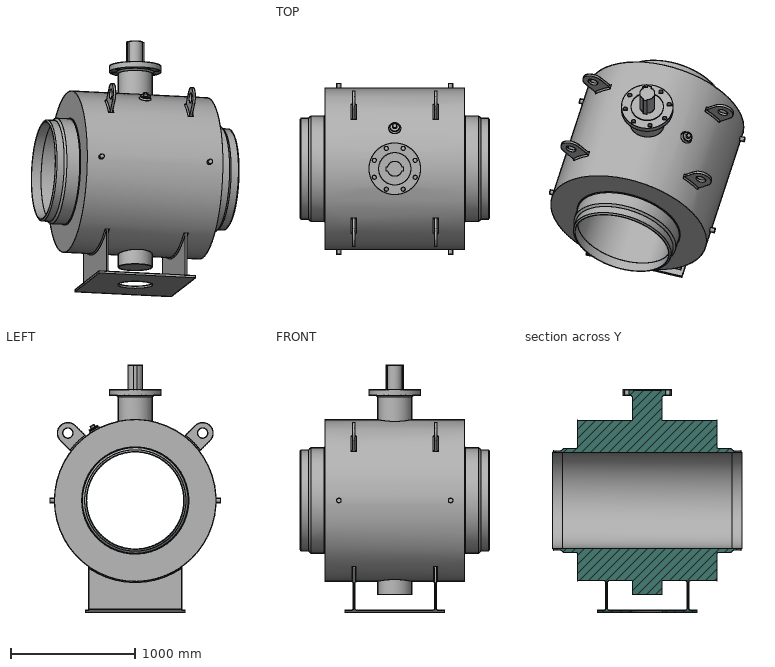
import cadquery as cq
shell_diameter = 1300
shell_length = 1124
overall_length = 1524
bore_diameter = 780

pipe_end_diameter = 815
collar_diameter = 850
pipe_end_length = 70
end_bore_diameter = 781
end_bore_depth = 80
bevel_land = 2.5
bevel_length = 10
collar_weld_leg = 6

neck_diameter = 274
neck_weld_leg = 15
flange_diameter = 415
flange_top = 890
flange_thickness = 45
flange_recess_diameter = 260
flange_recess_depth = 5
bolt_count = 8
bolt_hole_diameter = 33
bolt_circle_diameter = 356
stem_diameter = 120
stem_top = 1088
key_width = 32
key_span = 140

trunnion_bottom = -757
trunnion_chamfer = 3

lug_x = 330
lug_angle = 45
lug_thickness = 20
lug_radius = 85
lug_hole_diameter = 80
lug_hole_distance = 766
lug_weld_leg = 12

pin_x = 449
pin_diameter = 37
pin_span = 1374

fitting_angle = 30
fitting_body_diameter = 74
fitting_cap_diameter = 78
fitting_cap_bottom = 665
fitting_cap_top = 675
fitting_stem_diameter = 36
fitting_stem_top = 695
fitting_weld_leg = 12

base_bottom = -900
base_side = 800
base_thickness = 18
base_hole_diameter = 280
leg_x = 327
leg_thickness = 15
leg_width = 750
leg_weld_leg = 10

shell_radius = shell_diameter / 2
bore_radius = bore_diameter / 2
base_top = base_bottom + base_thickness
root_radius = (shell_radius + bore_radius) / 2


def cylinder_z(diameter, bottom, top):
    return cq.Workplane("XY").workplane(offset=bottom).circle(diameter / 2).extrude(top - bottom)


def cone_z(bottom_diameter, top_diameter, bottom, top):
    return (
        cq.Workplane("XY")
        .workplane(offset=bottom)
        .circle(bottom_diameter / 2)
        .workplane(offset=top - bottom)
        .circle(top_diameter / 2)
        .loft(ruled=True)
    )


def tilted(shape, angle):
    """Swing a shape from +Z toward +Y about the shell axis."""
    return shape.rotate((0, 0, 0), (1, 0, 0), -angle)


def make_shell():
    """Outer profile, symmetric about the middle, revolved about the shell axis."""
    half_shell = shell_length / 2
    half_length = overall_length / 2
    pipe_radius = pipe_end_diameter / 2
    collar_radius = collar_diameter / 2
    pipe_start = half_length - pipe_end_length
    collar_end = pipe_start - (collar_radius - pipe_radius)
    right_profile = [
        (half_shell, shell_radius),
        (half_shell, collar_radius + collar_weld_leg),
        (half_shell + collar_weld_leg, collar_radius),
        (collar_end, collar_radius),
        (pipe_start, pipe_radius),
        (half_length - bevel_length, pipe_radius),
        (half_length, end_bore_diameter / 2 + bevel_land),
        (half_length, 0),
    ]
    outline = right_profile + [(-x, radius) for x, radius in reversed(right_profile)]
    return cq.Workplane("XY").polyline(outline).close().revolve(360, (0, 0, 0), (1, 0, 0))


def make_bore():
    """Through bore, slightly wider at both ends."""
    bore = cq.Workplane("YZ").circle(bore_radius).extrude(overall_length / 2, both=True)
    for side in (-1, 1):
        end_bore = (
            cq.Workplane("YZ")
            .workplane(offset=side * overall_length / 2)
            .circle(end_bore_diameter / 2)
            .extrude(-side * end_bore_depth)
        )
        bore = bore.union(end_bore)
    return bore


def make_neck():
    """Neck, bolted flange and keyed stem above the shell."""
    flange_bottom = flange_top - flange_thickness
    neck = cylinder_z(neck_diameter, root_radius, flange_top - flange_recess_depth)
    weld = cone_z(
        neck_diameter, neck_diameter + 2 * neck_weld_leg, flange_bottom - neck_weld_leg, flange_bottom
    )
    recess = cylinder_z(flange_recess_diameter, flange_top - flange_recess_depth, flange_top)
    bolt_holes = (
        cq.Workplane("XY")
        .workplane(offset=flange_bottom)
        .polarArray(bolt_circle_diameter / 2, 180 / bolt_count, 360, bolt_count)
        .circle(bolt_hole_diameter / 2)
        .extrude(flange_thickness)
    )
    flange = cylinder_z(flange_diameter, flange_bottom, flange_top).cut(recess).cut(bolt_holes)
    stem = cylinder_z(stem_diameter, flange_bottom, stem_top)
    keys = (
        cq.Workplane("XY")
        .workplane(offset=flange_bottom)
        .rect(key_span, key_width)
        .extrude(stem_top - flange_bottom)
    )
    return neck.union(weld).union(flange).union(stem).union(keys)


def make_trunnion():
    return cylinder_z(neck_diameter, trunnion_bottom, -root_radius).faces("<Z").chamfer(trunnion_chamfer)


def make_shell_weld(x, plate_thickness, leg):
    """Ring of weld around the shell, on both sides of a plate standing across it."""
    half_thickness = plate_thickness / 2
    profile = [
        (x - half_thickness - leg, shell_radius),
        (x - half_thickness, shell_radius + leg),
        (x + half_thickness, shell_radius + leg),
        (x + half_thickness + leg, shell_radius),
        (x + half_thickness, root_radius),
        (x - half_thickness, root_radius),
    ]
    return cq.Workplane("XY").polyline(profile).close().revolve(360, (0, 0, 0), (1, 0, 0))


def make_lug(x, angle):
    """Round-ended plate with a hole and a weld along each side of its foot."""
    plate = (
        cq.Workplane("YZ")
        .workplane(offset=x - lug_thickness / 2)
        .moveTo(-lug_radius, root_radius)
        .lineTo(lug_radius, root_radius)
        .lineTo(lug_radius, lug_hole_distance)
        .threePointArc((0, lug_hole_distance + lug_radius), (-lug_radius, lug_hole_distance))
        .close()
        .moveTo(0, lug_hole_distance)
        .circle(lug_hole_diameter / 2)
        .extrude(lug_thickness)
    )
    weld = make_shell_weld(x, lug_thickness, lug_weld_leg)
    foot = cq.Workplane("XY").box(overall_length, 2 * lug_radius, flange_top, centered=(True, True, False))
    return tilted(plate.union(weld.intersect(foot)), angle)


def make_side_pins():
    pins = cq.Workplane("XZ").pushPoints([(-pin_x, 0), (pin_x, 0)]).circle(pin_diameter / 2)
    return pins.extrude(pin_span / 2, both=True)


def make_fitting():
    """Stepped grease fitting with a weld at its foot."""
    weld_diameter = fitting_body_diameter + 2 * fitting_weld_leg
    body = cylinder_z(fitting_body_diameter, root_radius, fitting_cap_bottom)
    cap = cylinder_z(fitting_cap_diameter, fitting_cap_bottom, fitting_cap_top)
    stem = cylinder_z(fitting_stem_diameter, fitting_cap_top, fitting_stem_top)
    weld = cone_z(weld_diameter, fitting_body_diameter, shell_radius, shell_radius + fitting_weld_leg)
    weld_root = cylinder_z(weld_diameter, root_radius, shell_radius)
    return tilted(body.union(cap).union(stem).union(weld).union(weld_root), fitting_angle)


def make_leg(x):
    """Upright plate running into the shell wall, welded to the shell and to the base."""
    plate = (
        cq.Workplane("XY")
        .box(leg_thickness, leg_width, -base_bottom - bore_radius, centered=(True, True, False))
        .translate((x, 0, base_bottom))
    )
    half_thickness = leg_thickness / 2
    base_weld = (
        cq.Workplane("XZ")
        .moveTo(x - half_thickness - leg_weld_leg, base_top)
        .lineTo(x - half_thickness, base_top + leg_weld_leg)
        .lineTo(x + half_thickness, base_top + leg_weld_leg)
        .lineTo(x + half_thickness + leg_weld_leg, base_top)
        .close()
        .extrude(leg_width / 2, both=True)
    )
    below = (
        cq.Workplane("XY")
        .box(overall_length, leg_width, -base_bottom, centered=(True, True, False))
        .translate((0, 0, base_bottom))
    )
    shell_weld = make_shell_weld(x, leg_thickness, leg_weld_leg).intersect(below)
    return plate.union(base_weld).union(shell_weld)


def make_base():
    return (
        cq.Workplane("XY")
        .workplane(offset=base_bottom)
        .rect(base_side, base_side)
        .circle(base_hole_diameter / 2)
        .extrude(base_thickness)
    )


result = make_shell().union(make_neck()).union(make_trunnion())
result = result.union(make_side_pins()).union(make_fitting()).union(make_base())
for side in (-1, 1):
    result = result.union(make_leg(side * leg_x))
    for angle in (-lug_angle, lug_angle):
        result = result.union(make_lug(side * lug_x, angle))
result = result.cut(make_bore())